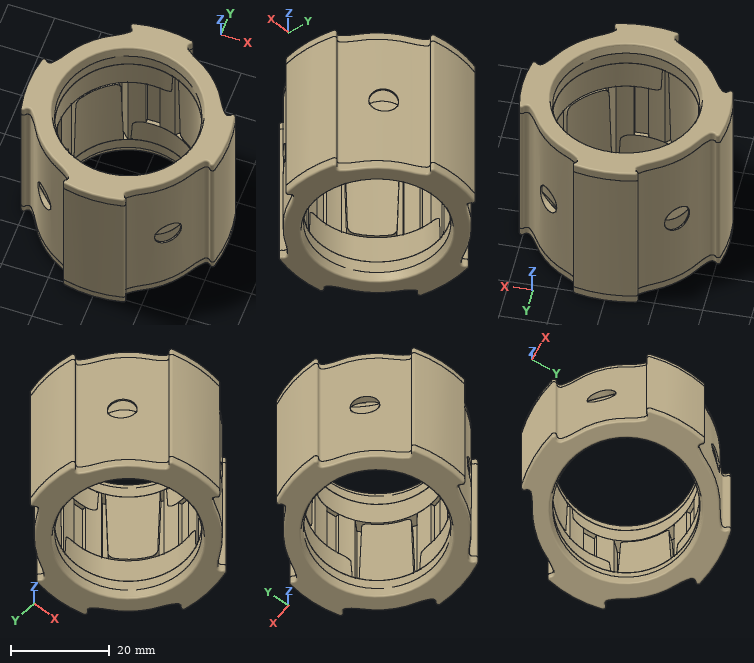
import cadquery as cq
import math

total_height = 37.0
lobe_reach = 21.5
lobe_face_radius = 27.95
groove_radius = 19.0
lobe_half_width = 6.65
tip_radius = 0.55
neck_radius = 0.77
flank_radius = 13.35
groove_end_angle = 62.0

ring_bore_radius = 14.88
inner_radius = 14.9
nest_radius = 17.4

flange_thickness = 2.0
outer_edge_fillet = 0.45
mouth_radius = 15.4
mouth_fillet = 0.45
ring_depth = 4.9
draft_angle = 1.5
claw_half_width = 5.55
claw_depth = 24.95
skirt_half_width = 13.25
skirt_depth = 11.52
corner_radius = 1.3

button_diameter = 6.0
button_top_radius = 18.65
ramp_angle = 20.0
claw_slot_half_width = 6.3
keyway_half_width = 1.5
keyway_floor = 15.75

cap_top = total_height / 2
sleeve_top = cap_top - flange_thickness
ring_bottom = cap_top - ring_depth
claw_axis_angle = 45.0
skirt_axis_angle = 135.0
far = 2 * lobe_reach


def polar(radius, degrees):
    angle = math.radians(degrees)
    return cq.Vector(radius * math.cos(angle), radius * math.sin(angle))


def lobed_outline():
    """Closed wire of four lobes with rounded tips, joined by rounded necks and grooves."""
    tip_x = lobe_half_width - tip_radius
    face_center = cq.Vector(0, lobe_reach - lobe_face_radius)
    tip_rise = math.sqrt((lobe_face_radius - tip_radius) ** 2 - tip_x ** 2)
    tip_center = face_center + cq.Vector(tip_x, tip_rise)
    flank_center = polar(groove_radius + flank_radius, groove_end_angle)

    tip_reach = tip_radius + neck_radius
    flank_reach = flank_radius - neck_radius
    span = flank_center - tip_center
    along = (tip_reach ** 2 - flank_reach ** 2 + span.Length ** 2) / (2 * span.Length)
    across = math.sqrt(tip_reach ** 2 - along ** 2)
    span_direction = span.normalized()
    span_normal = cq.Vector(span_direction.y, -span_direction.x)
    neck_center = tip_center + span_direction * along + span_normal * across

    tip_outward = (tip_center - face_center).normalized()
    tip_to_neck = (neck_center - tip_center).normalized()
    neck_to_flank = (neck_center - flank_center).normalized()
    tip_start = tip_center + tip_outward * tip_radius
    tip_middle = tip_center + (tip_outward + tip_to_neck).normalized() * tip_radius
    tip_end = tip_center + tip_to_neck * tip_radius
    neck_middle = neck_center + (neck_to_flank - tip_to_neck).normalized() * neck_radius
    neck_end = neck_center + neck_to_flank * neck_radius
    groove_start = polar(groove_radius, groove_end_angle)
    groove_to_flank = (groove_start - flank_center).normalized()
    flank_middle = flank_center + (neck_to_flank + groove_to_flank).normalized() * flank_radius

    def turned(point, quarter, mirrored=False):
        x = -point.x if mirrored else point.x
        angle = -math.pi / 2 * quarter
        return (
            x * math.cos(angle) - point.y * math.sin(angle),
            x * math.sin(angle) + point.y * math.cos(angle),
        )

    outline = cq.Workplane("XY").moveTo(*turned(tip_start, 0, True))
    for quarter in range(4):
        outline = outline.threePointArc(
            turned(cq.Vector(0, lobe_reach), quarter), turned(tip_start, quarter)
        )
        outline = outline.threePointArc(turned(tip_middle, quarter), turned(tip_end, quarter))
        outline = outline.threePointArc(turned(neck_middle, quarter), turned(neck_end, quarter))
        outline = outline.threePointArc(turned(flank_middle, quarter), turned(groove_start, quarter))
        following = quarter + 1
        outline = outline.threePointArc(
            turned(polar(groove_radius, 45), quarter), turned(groove_start, following, True)
        )
        outline = outline.threePointArc(
            turned(flank_middle, following, True), turned(neck_end, following, True)
        )
        outline = outline.threePointArc(
            turned(neck_middle, following, True), turned(tip_end, following, True)
        )
        outline = outline.threePointArc(
            turned(tip_middle, following, True), turned(tip_start, following, True)
        )
    return outline.close()


def cylinder(radius, bottom, top):
    return cq.Workplane("XY").workplane(offset=bottom).circle(radius).extrude(top - bottom)


def tapered_block(half_width, depth, axis_angle):
    """Round-ended block across the axis below the ring, narrowing downward, lower corners rounded."""
    bottom = cap_top - depth
    tip_half_width = half_width - (ring_bottom - bottom) * math.tan(math.radians(draft_angle))
    plate = (
        cq.Workplane("XZ")
        .polyline(
            [
                (-half_width, ring_bottom),
                (half_width, ring_bottom),
                (tip_half_width, bottom),
                (-tip_half_width, bottom),
            ]
        )
        .close()
        .extrude(lobe_reach, both=True)
        .edges("|Y and <Z")
        .fillet(corner_radius)
        .rotate((0, 0, 0), (0, 0, 1), axis_angle - 90)
    )
    return plate.intersect(cylinder(nest_radius, bottom, ring_bottom))


def tapered_tabs(half_width, depth, axis_angle):
    """Two opposite curved tabs: the ends of a tapered block outside the inner bore."""
    block = tapered_block(half_width, depth, axis_angle)
    return block.cut(cylinder(inner_radius, cap_top - depth, ring_bottom))


def radial_cylinder(diameter, reach):
    """Horizontal cylinder through the axis, along +X and -X."""
    return cq.Workplane("YZ").circle(diameter / 2).extrude(reach, both=True)


def snap_buttons():
    """Round buttons on both claws, each with its lower half cut back as a lead-in ramp."""
    half_height = button_diameter / 2
    ramp_inset = half_height * math.tan(math.radians(ramp_angle))
    buttons = radial_cylinder(button_diameter, far)
    buttons = buttons.intersect(cylinder(button_top_radius, -half_height, half_height))
    buttons = buttons.cut(cylinder((inner_radius + nest_radius) / 2, -half_height, half_height))
    for side in (-1, 1):
        ramp = (
            cq.Workplane("XZ")
            .polyline(
                [
                    (side * button_top_radius, 0),
                    (side * far, 0),
                    (side * far, -half_height),
                    (side * (button_top_radius - ramp_inset), -half_height),
                ]
            )
            .close()
            .extrude(half_height, both=True)
        )
        buttons = buttons.cut(ramp)
    return buttons.rotate((0, 0, 0), (0, 0, 1), claw_axis_angle)


def mouth_cutter():
    """Bore of the flange and ring: rounded rim, taper through the flange, then straight."""
    rim_radius = mouth_radius + mouth_fillet
    taper_top = cap_top - mouth_fillet
    diagonal = mouth_fillet * math.sqrt(0.5)
    return (
        cq.Workplane("XZ")
        .moveTo(0, cap_top)
        .lineTo(rim_radius, cap_top)
        .threePointArc(
            (rim_radius - diagonal, taper_top + diagonal), (mouth_radius, taper_top)
        )
        .lineTo(ring_bore_radius, sleeve_top)
        .lineTo(ring_bore_radius, ring_bottom)
        .lineTo(0, ring_bottom)
        .close()
        .revolve(360, (0, 0, 0), (0, 1, 0))
    )


def make_cap():
    """Upper cap: lobed flange, nesting ring, two long claws with buttons and two short skirts."""
    flange = lobed_outline().extrude(flange_thickness).translate((0, 0, sleeve_top))
    flange = flange.faces(">Z").edges().fillet(outer_edge_fillet)
    cap = flange.union(cylinder(nest_radius, ring_bottom, sleeve_top)).cut(mouth_cutter())
    cap = cap.union(tapered_tabs(claw_half_width, claw_depth, claw_axis_angle))
    cap = cap.union(tapered_tabs(skirt_half_width, skirt_depth, skirt_axis_angle))
    return cap.union(snap_buttons())


def flipped(body):
    """Half turn about the X axis, which swaps the upper end for the lower end."""
    return body.rotate((0, 0, 0), (1, 0, 0), 180)


def make_sleeve():
    """Lobed tube with ring seats, skirt seats, claw slots, button holes and keyways."""
    sleeve_height = 2 * sleeve_top
    sleeve = lobed_outline().extrude(sleeve_height).translate((0, 0, -sleeve_top))
    sleeve = sleeve.cut(cylinder(inner_radius, -sleeve_top, sleeve_top))

    end_seat = cylinder(nest_radius, ring_bottom, sleeve_top)
    skirt_seats = tapered_block(skirt_half_width, skirt_depth, skirt_axis_angle)
    for seat in (end_seat, skirt_seats):
        sleeve = sleeve.cut(seat).cut(flipped(seat))

    claw_slot_block = cq.Workplane("XY").box(far, 2 * claw_slot_half_width, sleeve_height)
    nest = cylinder(nest_radius, -sleeve_top, sleeve_top)
    button_holes = radial_cylinder(button_diameter, far)
    for angle in (claw_axis_angle, skirt_axis_angle):
        claw_slots = nest.intersect(claw_slot_block.rotate((0, 0, 0), (0, 0, 1), angle))
        sleeve = sleeve.cut(claw_slots)
        sleeve = sleeve.cut(button_holes.rotate((0, 0, 0), (0, 0, 1), angle))

    keyways = cq.Workplane("XY").box(2 * keyway_floor, 2 * keyway_half_width, sleeve_height)
    for angle in (0, 90):
        sleeve = sleeve.cut(keyways.rotate((0, 0, 0), (0, 0, 1), angle))
    return sleeve


sleeve = make_sleeve()
upper_cap = make_cap()
caps = [upper_cap, flipped(upper_cap)]

result = cq.Compound.makeCompound([sleeve.val(), *[cap.val() for cap in caps]])